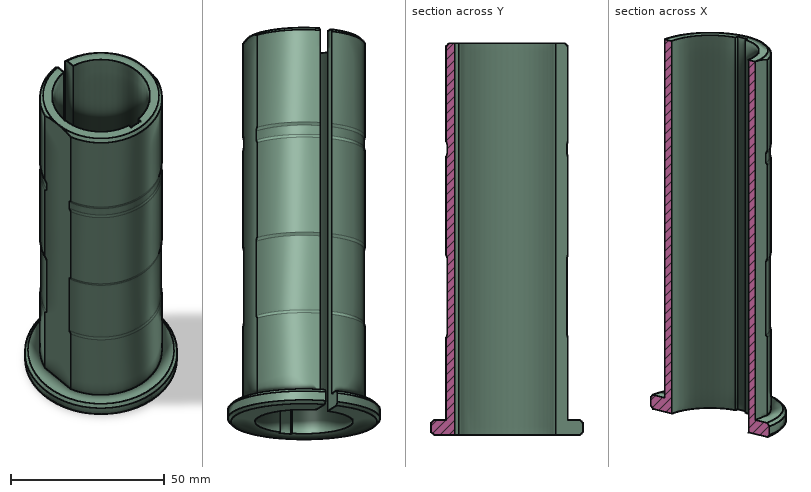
import cadquery as cq

length = 128.0
body_radius = 20.0
bore_radius = 16.0
edge_chamfer = 1.0

flange_diameter = 49.8
flange_radius = flange_diameter / 2
flange_height = 5.0

reliefs = [(31.7, 58.9), (90.9, 96.0)]
relief_radius = 19.7
relief_ramp = 1.0

flat_distance = 19.0
slot_width = 4.1
keyway_width = slot_width
keyway_reach = 17.0


def turned_sleeve():
    """Revolve the flanged tube with its sloped-sided reliefs."""
    points = [
        (bore_radius, 0),
        (flange_radius - edge_chamfer, 0),
        (flange_radius, edge_chamfer),
        (flange_radius, flange_height - edge_chamfer),
        (flange_radius - edge_chamfer, flange_height),
        (body_radius, flange_height),
    ]
    for bottom, top in reliefs:
        points += [
            (body_radius, bottom),
            (relief_radius, bottom + relief_ramp),
            (relief_radius, top - relief_ramp),
            (body_radius, top),
        ]
    points += [
        (body_radius, length - edge_chamfer),
        (body_radius - edge_chamfer, length),
        (bore_radius, length),
    ]
    profile = cq.Workplane("XZ").polyline(points).close()
    return profile.revolve(360, (0, 0, 0), (0, 1, 0))


def side_flat(side):
    """Material removed beyond one flat, above the flange; side is -1 or +1 along Y."""
    depth = body_radius - flat_distance
    return (
        cq.Workplane("XY")
        .workplane(offset=flange_height)
        .center(0, side * (flat_distance + depth / 2))
        .rect(2 * body_radius, depth)
        .extrude(length - flange_height)
    )


def radial_channel(end_x, width):
    """Full-length channel from the axis out to end_x."""
    return cq.Workplane("XY").center(end_x / 2, 0).rect(abs(end_x), width).extrude(length)


result = turned_sleeve()
for side in (-1, 1):
    result = result.cut(side_flat(side))

result = result.cut(radial_channel(-flange_radius, slot_width))
result = result.cut(radial_channel(keyway_reach, keyway_width))